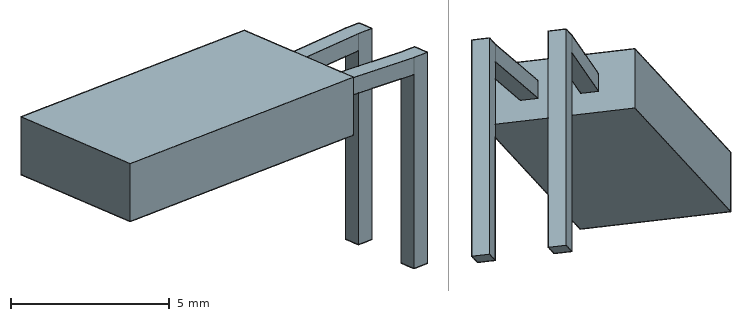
import cadquery as cq

total_length = 13.81
total_height = 8.0

body_width = 5.0
body_length = 9.71
body_height = 2.0

lead_size = 0.6
lead_spacing_at_body = 2.0
pin_spacing = 2.54

pin_front = total_length - lead_size
pin_height = total_height - body_height / 2 + lead_size / 2


def make_body():
    return cq.Workplane("XY").box(body_width, body_length, body_height, centered=(True, False, True))


def make_lead(side):
    """Splayed horizontal arm and downward pin; side is -1 or +1 along X."""
    root_x = side * lead_spacing_at_body / 2
    pin_x = side * pin_spacing / 2
    half = lead_size / 2
    arm = (
        cq.Workplane("XY")
        .workplane(offset=-half)
        .polyline([
            (root_x - half, body_length),
            (root_x + half, body_length),
            (pin_x + half, pin_front),
            (pin_x + half, total_length),
            (pin_x - half, total_length),
            (pin_x - half, pin_front),
        ])
        .close()
        .extrude(lead_size)
    )
    pin = (
        cq.Workplane("XY")
        .workplane(offset=half)
        .center(pin_x, total_length - half)
        .rect(lead_size, lead_size)
        .extrude(-pin_height)
    )
    return arm.union(pin)


result = make_body()
for side in (-1, 1):
    result = result.union(make_lead(side))